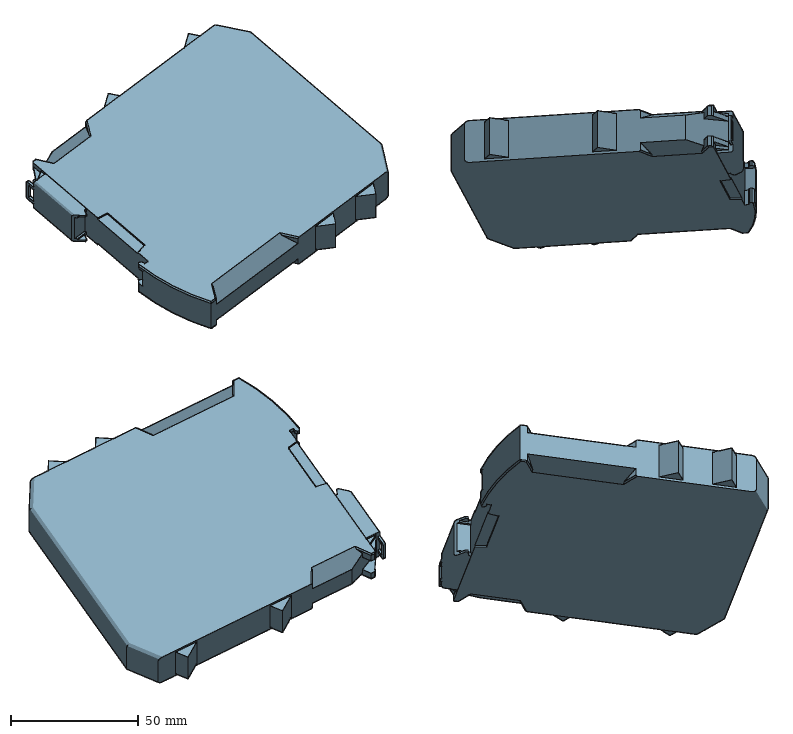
import cadquery as cq

overall_length = 113.6
body_width = 99.0
thickness = 17.6
half_width = body_width / 2
half_thick = thickness / 2
back_y = overall_length / 2
foot_y = -overall_length / 2

back_corner_run = 11.7
back_corner_drop = 7.5
back_edge_radius = 1.7
front_y = -50.3
front_corner_chamfer = 0.7

nose_side_y = -46.1
nose_tip = (16.8, -54.5)
nose_middle = (35.2, -51.5)
nose_edge_chamfer = 0.6
hook_point = (15.6, -53.6)
hook_shoulder = (15.7, -52.9)
hook_lip = (16.5, -52.1)
hook_throat_x = 17.6
hook_cut_x = 18.9
hook_cut_bottom_z = -2.7
hook_cut_top_z = 6.8

recess_width = 6.7
recess_end_run = 4.1
recess_depth = 3.6
recess_rim_bevel = 0.6
arm_edge_chamfer = 0.5
left_recess_y = (-48.0, -21.2)
right_recess_y = (-43.2, 0.6)

slant_start_y = -39.3
slant_end = (-41.8, -55.0)
tongue_half_z = 4.3

foot_left_x = -41.6
gusset_tip = (foot_left_x, slant_end[1])
outer_gusset_x = -48.4
inner_gusset_x = -44.2
gusset_step_z = 6.4
gusset_top_z = 7.6

foot_front_right_x = -19.7
foot_hook_x = -15.8
foot_half_z = 8.6
foot_hook_back_y = -52.1
foot_hook_root_y = -51.2
foot_edge_radius = 1.0
foot_center_right_x = -18.7
hook_plate_inner_z = 7.6
hook_pad_length = 0.8
hook_pad_height = 0.8

tab_left_x = -45.8
tab_half_z = 5.6
tab_thickness = 1.0
tab_corner_radius = 1.1
window_left_x = -44.3
window_half_z = 3.7

edge_recess_center_x = 0.1
edge_recess_front_width = 23.2
edge_recess_back_width = 21.5
edge_recess_length = 4.5
edge_recess_depth = 0.8

clip_reach = 4.5
clip_back_rise = 3.0
clip_front_drop = 6.7
clip_half_z = 7.7
left_clip_tips_y = (38.3, -4.9)
right_clip_tips_y = (38.3, 16.7)


def prism(points, bottom_z, top_z):
    """Extrude a closed XY polygon between two heights."""
    return cq.Workplane("XY").workplane(offset=bottom_z).polyline(points).close().extrude(top_z - bottom_z)


def box(x_range, y_range, z_range):
    """Box between the given limits."""
    (x0, x1), (y0, y1), (z0, z1) = x_range, y_range, z_range
    return cq.Workplane("XY").box(x1 - x0, y1 - y0, z1 - z0, centered=False).translate((x0, y0, z0))


def both_faces(upper):
    """Pair a shape with its mirror image through the mid-plane."""
    return upper.union(upper.mirror("XY"))


def slant_x(y):
    """X of the slanted side face at a given Y."""
    share = (y - slant_start_y) / (slant_end[1] - slant_start_y)
    return -half_width + share * (slant_end[0] + half_width)


def housing():
    """Flat housing with a rounded back rim and the curved, hooked nose."""
    corner_x = half_width - back_corner_run
    corner_y = back_y - back_corner_drop
    body = (
        cq.Workplane("XY").workplane(offset=-half_thick)
        .moveTo(-half_width, front_y + front_corner_chamfer)
        .lineTo(-half_width, corner_y)
        .lineTo(-corner_x, back_y)
        .lineTo(corner_x, back_y)
        .lineTo(half_width, corner_y)
        .lineTo(half_width, nose_side_y)
        .threePointArc(nose_middle, nose_tip)
        .lineTo(*hook_point)
        .lineTo(*hook_shoulder)
        .lineTo(*hook_lip)
        .lineTo(hook_throat_x, hook_lip[1])
        .lineTo(hook_throat_x, front_y)
        .lineTo(-half_width + front_corner_chamfer, front_y)
        .close()
        .extrude(thickness)
    )
    body = body.edges("%CIRCLE").chamfer(nose_edge_chamfer)
    back_zone = cq.selectors.BoxSelector(
        (-half_width, corner_y, -thickness),
        (half_width, overall_length, thickness),
    )
    return body.edges("#Z").edges(back_zone).fillet(back_edge_radius)


def grip_recess(side, y_range):
    """Sloped recess in both large faces; side is -1 for -X and +1 for +X."""
    front, back = y_range
    outer_x = side * half_width
    inner_x = side * (half_width - recess_width)
    outline = [
        (outer_x, front),
        (inner_x, front + recess_end_run),
        (inner_x, back - recess_end_run),
        (outer_x, back),
    ]
    rim = (
        cq.Workplane("XY").workplane(offset=half_thick - recess_rim_bevel)
        .polyline(outline)
        .close()
        .extrude(recess_rim_bevel, taper=-45)
    )
    plan = prism(outline, 0, half_thick).union(rim)
    wedge_back = back + recess_end_run
    slope = (
        cq.Workplane("XZ", origin=(0, wedge_back, 0))
        .polyline([(inner_x, half_thick), (outer_x, half_thick), (outer_x, half_thick - recess_depth)])
        .close()
        .extrude(wedge_back - front + recess_end_run)
    )
    return both_faces(plan.intersect(slope))


def arm_edge_bevel(side, recess_front_y, end_y):
    """Cut for the short side edges left between a grip recess and the front."""
    outer_x = side * half_width
    upper = (
        cq.Workplane("XZ", origin=(0, recess_front_y, 0))
        .polyline([
            (outer_x, half_thick),
            (outer_x - side * arm_edge_chamfer, half_thick),
            (outer_x, half_thick - arm_edge_chamfer),
        ])
        .close()
        .extrude(recess_front_y - end_y)
    )
    return both_faces(upper)


def slanted_side_cut():
    """Full-height cut down to the recess wall, then a central channel out to the foot."""
    wall_y = left_recess_y[0]
    wall_slope = recess_end_run / recess_width
    side_slope = (slant_end[0] + half_width) / (slant_end[1] - slant_start_y)
    meet_run = side_slope * (wall_y - slant_start_y) / (1 - side_slope * wall_slope)
    meet = (-half_width + meet_run, wall_y + wall_slope * meet_run)
    full_cut = prism([(-half_width, slant_start_y), meet, (-half_width, wall_y)], -half_thick, half_thick)
    channel = prism(
        [(-half_width, slant_start_y), (slant_x(front_y), front_y), (-half_width, front_y)],
        -tongue_half_z, tongue_half_z,
    )
    return full_cut.union(channel)


def edge_recess():
    """Shallow trapezoids in the front edge of both large faces."""
    half_front = edge_recess_front_width / 2
    half_back = edge_recess_back_width / 2
    back = front_y + edge_recess_length
    outline = [(-half_front, front_y), (-half_back, back), (half_back, back), (half_front, front_y)]
    upper = prism(outline, half_thick - edge_recess_depth, half_thick)
    return both_faces(upper.translate((edge_recess_center_x, 0, 0)))


def hook_notch():
    """Gap through the middle of the fixed rail hook."""
    return box((hook_point[0], hook_cut_x), (foot_y, front_y), (hook_cut_bottom_z, hook_cut_top_z))


def clip(side, tip_y):
    """Terminal clip; side is -1 for -X and +1 for +X."""
    outline = [
        (side * half_width, tip_y + clip_back_rise),
        (side * (half_width + clip_reach), tip_y),
        (side * half_width, tip_y - clip_front_drop),
    ]
    return prism(outline, -clip_half_z, clip_half_z)


def gussets():
    """Stepped webs that join both front arms to the foot."""
    foot_root = (foot_left_x, front_y)
    outer = prism([(outer_gusset_x, front_y), gusset_tip, foot_root], tongue_half_z, gusset_step_z)
    inner = prism([(inner_gusset_x, front_y), gusset_tip, foot_root], gusset_step_z, gusset_top_z)
    return both_faces(outer.union(inner))


def foot():
    """Rail foot with a central core and a hook on its +X end."""
    hook_run = foot_hook_x - foot_front_right_x
    hook_tip_y = foot_y + hook_run
    outline = [
        (foot_left_x, front_y),
        (foot_left_x, foot_y),
        (foot_front_right_x, foot_y),
        (foot_hook_x, hook_tip_y),
        (foot_hook_x, foot_hook_back_y),
        (foot_center_right_x + hook_pad_length, foot_hook_root_y),
        (foot_center_right_x + hook_pad_length, front_y),
    ]
    block = prism(outline, -foot_half_z, foot_half_z)
    block = block.faces("<Y").edges("|X").fillet(foot_edge_radius)
    pad_inner_z = hook_plate_inner_z - hook_pad_height
    pad_end_x = foot_center_right_x + hook_pad_length
    y_range = (foot_y, front_y)
    block = block.cut(box((foot_center_right_x, pad_end_x), y_range, (-pad_inner_z, pad_inner_z)))
    block = block.cut(box((pad_end_x, foot_hook_x), y_range, (-hook_plate_inner_z, hook_plate_inner_z)))
    core = prism(
        [(slant_x(front_y), front_y), slant_end, (foot_left_x, slant_end[1]), (foot_left_x, front_y)],
        -tongue_half_z, tongue_half_z,
    )
    return block.union(core)


def pull_tab():
    """Thin tab that reaches out from the foot towards -X."""
    y_range = (foot_y, foot_y + tab_thickness)
    tab = box((tab_left_x, foot_left_x), y_range, (-tab_half_z, tab_half_z))
    tab = tab.faces("<X").edges("|Y").fillet(tab_corner_radius)
    return tab.cut(box((window_left_x, foot_left_x), y_range, (-window_half_z, window_half_z)))


result = housing()
result = result.cut(grip_recess(-1, left_recess_y))
result = result.cut(grip_recess(1, right_recess_y))
result = result.cut(arm_edge_bevel(-1, left_recess_y[0], front_y))
result = result.cut(arm_edge_bevel(1, right_recess_y[0], nose_side_y))
result = result.cut(slanted_side_cut())
result = result.cut(edge_recess())
result = result.cut(hook_notch())
for tip in left_clip_tips_y:
    result = result.union(clip(-1, tip))
for tip in right_clip_tips_y:
    result = result.union(clip(1, tip))
result = result.union(foot()).union(gussets()).union(pull_tab())